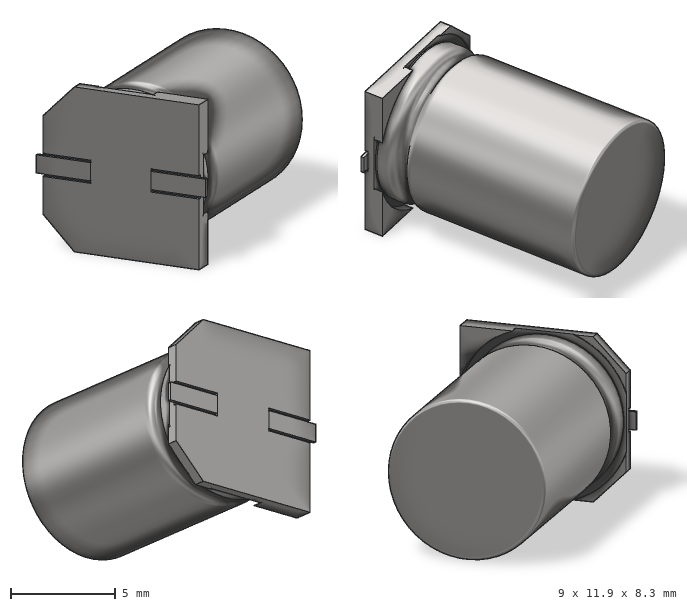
import cadquery as cq
import math

total_height = 11.9

base_width = 8.3
base_thickness = 0.6
base_chamfer = 1.68
corner_post_height = 1.0
seat_radius = 4.4
seat_floor = 0.51

terminal_span = 9.0
terminal_width = 0.92
terminal_thickness = 0.17
terminal_gap = 3.2
slot_width = 1.17

can_radius = 4.01
can_bottom = base_thickness
can_top_fillet = 0.17
groove_center = 1.87
groove_depth = 0.38
groove_floor_width = 0.13
groove_lip_radius = 0.4
groove_root_radius = 0.25


def extrude_up(sketch, bottom, top):
    """Extrude a sketch on the XZ plane from bottom to top along +Y."""
    return sketch.extrude(-(top - bottom)).translate((0, bottom, 0))


def make_base():
    half = base_width / 2
    plate = extrude_up(cq.Workplane("XZ").rect(base_width, base_width), 0, base_thickness)
    plate = plate.edges("|Y and <X").chamfer(base_chamfer)

    post_start = math.sqrt(seat_radius**2 - half**2)
    post_size = half - post_start
    post_center = (half + post_start) / 2
    posts = extrude_up(
        cq.Workplane("XZ")
        .pushPoints([(post_center, -post_center), (post_center, post_center)])
        .rect(post_size, post_size),
        0,
        corner_post_height,
    )
    seat = extrude_up(cq.Workplane("XZ").circle(seat_radius), seat_floor, corner_post_height)
    base = plate.union(posts).cut(seat)

    for side in (-1, 1):
        base = base.cut(make_terminal_bar(side, slot_width))
    return base.solids()


def make_terminal_bar(side, width):
    """Flat bar of the given width on the mounting face, at -X (side = -1) or +X (side = 1)."""
    length = (terminal_span - terminal_gap) / 2
    center = side * (terminal_span + terminal_gap) / 4
    return extrude_up(
        cq.Workplane("XZ").center(center, 0).rect(length, width), 0, terminal_thickness
    )


def make_can():
    turn = math.acos(1 - groove_depth / (groove_lip_radius + groove_root_radius))
    floor_radius = can_radius - groove_depth
    floor_end = groove_floor_width / 2
    root_height = groove_root_radius * math.sin(turn)
    lip_height = groove_lip_radius * math.sin(turn)

    root_mid = (
        floor_radius + groove_root_radius * (1 - math.cos(turn / 2)),
        floor_end + groove_root_radius * math.sin(turn / 2),
    )
    inflection = (
        floor_radius + groove_root_radius * (1 - math.cos(turn)),
        floor_end + root_height,
    )
    lip_end = (can_radius, inflection[1] + lip_height)
    lip_mid = (
        can_radius - groove_lip_radius * (1 - math.cos(turn / 2)),
        lip_end[1] - groove_lip_radius * math.sin(turn / 2),
    )

    def above(point):
        return (point[0], groove_center + point[1])

    def below(point):
        return (point[0], groove_center - point[1])

    profile = (
        cq.Workplane("XY")
        .moveTo(0, can_bottom)
        .lineTo(can_radius, can_bottom)
        .lineTo(*below(lip_end))
        .threePointArc(below(lip_mid), below(inflection))
        .threePointArc(below(root_mid), (floor_radius, groove_center - floor_end))
        .lineTo(floor_radius, groove_center + floor_end)
        .threePointArc(above(root_mid), above(inflection))
        .threePointArc(above(lip_mid), above(lip_end))
        .lineTo(can_radius, total_height)
        .lineTo(0, total_height)
        .close()
    )
    can = profile.revolve(360, (0, 0, 0), (0, 1, 0))
    return can.faces(">Y").edges().fillet(can_top_fillet)


def make_seal_disc():
    """Disc between the seat floor and the can, flush with the can wall."""
    return extrude_up(cq.Workplane("XZ").circle(can_radius), seat_floor, can_bottom)


base = make_base()
seal_disc = make_seal_disc()
can = make_can()
terminals = [make_terminal_bar(side, terminal_width) for side in (-1, 1)]

result = cq.Compound.makeCompound(
    [base.val(), seal_disc.val(), can.val(), *[terminal.val() for terminal in terminals]]
)